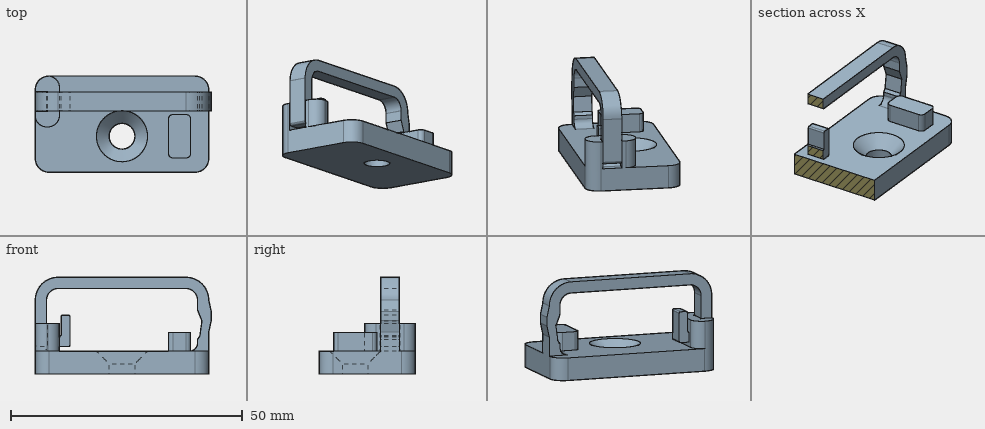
import cadquery as cq

base_length = 37.5
base_depth = 20.8
base_height = 5.0
base_corner_radius = 3.0

hole_x = base_length / 2
hole_y = 7.8
hole_diameter = 5.5
countersink_diameter = 11.03
countersink_angle = 90

boss_width = 5.25
boss_depth = 11.0
boss_top = 11.0
boss_corner_radius = 2.5
boss_center_y = base_depth - boss_depth / 2

slot_width = 4.25
slot_depth = boss_width / 2
leg_bottom = 5.97
leg_edge_radius = 0.45

handle_width = 4.07
handle_top = 20.95
handle_thickness = 2.47
handle_outer_radius = 5.0
handle_inner_radius = handle_outer_radius - handle_thickness
handle_inner_left = handle_thickness
handle_inner_right = base_length - handle_thickness
handle_inner_top = handle_top - handle_thickness

bulge_x = 38.03
bulge_top = 13.55
bulge_bottom = 11.6
bulge_end = 9.13
notch_top = 13.88
notch_deepest_x = 35.98
notch_deepest_z = 11.52
notch_lower_x = 35.52
notch_lower_z = 8.2
notch_end_z = 7.53
foot_radius = 1.75
foot_top = base_height + foot_radius

lever_left = 5.6
lever_right = 7.53
lever_top = 12.75
lever_neck_top = 8.02
lever_neck_rise = 0.38
lever_edge_radius = 0.3

stop_left = 28.75
stop_front = 3.1
stop_length = 4.83
stop_depth = 9.35
stop_top = 9.0
stop_corner_radius = 1.0


def block(length, depth, bottom, top, left=0.0, front=0.0):
    """Box placed by its left, front and bottom sides."""
    return (
        cq.Workplane("XY", origin=(left, front, bottom))
        .box(length, depth, top - bottom, centered=False)
    )


def extrude_across(outline, width):
    """Extrude a closed XZ outline symmetrically, centred on the boss in Y."""
    return outline.extrude(width / 2, both=True).translate((0, boss_center_y, 0))


def make_base():
    plate = block(base_length, base_depth, 0, base_height).edges("|Z").fillet(base_corner_radius)
    return (
        plate.faces(">Z").workplane(origin=(hole_x, hole_y, base_height))
        .cskHole(hole_diameter, countersink_diameter, countersink_angle)
    )


def make_boss():
    front = base_depth - boss_depth
    boss = block(boss_width, boss_depth, base_height, boss_top, front=front)
    boss = boss.edges("|Z").fillet(boss_corner_radius)
    base_column = block(base_length, base_depth, 0, boss_top).edges("|Z").fillet(base_corner_radius)
    boss = boss.intersect(base_column)

    gap_height = leg_bottom - base_height
    slot_outline = (
        cq.Workplane("XZ")
        .moveTo(0, base_height)
        .lineTo(slot_depth - gap_height, base_height)
        .radiusArc((slot_depth, leg_bottom), -gap_height)
        .lineTo(slot_depth, boss_top)
        .lineTo(0, boss_top)
        .close()
    )
    return boss.cut(extrude_across(slot_outline, slot_width))


def make_handle():
    outline = (
        cq.Workplane("XZ")
        .moveTo(leg_edge_radius, leg_bottom)
        .radiusArc((0, leg_bottom + leg_edge_radius), leg_edge_radius)
        .lineTo(0, handle_top - handle_outer_radius)
        .radiusArc((handle_outer_radius, handle_top), handle_outer_radius)
        .lineTo(base_length - handle_outer_radius, handle_top)
        .radiusArc((base_length, handle_top - handle_outer_radius), handle_outer_radius)
        .lineTo(bulge_x, bulge_top)
        .lineTo(bulge_x, bulge_bottom)
        .lineTo(base_length, bulge_end)
        .lineTo(base_length, base_height)
        .lineTo(handle_inner_right - foot_radius, base_height)
        .radiusArc((handle_inner_right, foot_top), -foot_radius)
        .lineTo(handle_inner_right, notch_end_z)
        .lineTo(notch_lower_x, notch_lower_z)
        .lineTo(notch_deepest_x, notch_deepest_z)
        .lineTo(handle_inner_right, notch_top)
        .lineTo(handle_inner_right, handle_inner_top - handle_inner_radius)
        .radiusArc((handle_inner_right - handle_inner_radius, handle_inner_top), -handle_inner_radius)
        .lineTo(handle_inner_left + handle_inner_radius, handle_inner_top)
        .radiusArc((handle_inner_left, handle_inner_top - handle_inner_radius), -handle_inner_radius)
        .lineTo(handle_inner_left, boss_top)
        .lineTo(slot_depth, boss_top)
        .lineTo(slot_depth, leg_bottom)
        .close()
    )
    return extrude_across(outline, handle_width)


def make_lever():
    blade = block(lever_right - lever_left, handle_width, leg_bottom, lever_top,
                  lever_left, boss_center_y - handle_width / 2)
    blade = blade.edges("|Y and >Z").fillet(lever_edge_radius)
    blade = blade.edges("|Y and >X and <Z").fillet(lever_edge_radius)
    neck_outline = (
        cq.Workplane("XZ")
        .moveTo(slot_depth, leg_bottom)
        .lineTo(lever_left, leg_bottom)
        .lineTo(lever_left, lever_neck_top + lever_neck_rise)
        .lineTo(boss_width, lever_neck_top)
        .lineTo(slot_depth, lever_neck_top)
        .close()
    )
    return blade.union(extrude_across(neck_outline, handle_width))


def make_stop():
    stop = block(stop_length, stop_depth, base_height, stop_top, stop_left, stop_front)
    return stop.edges("|Z").fillet(stop_corner_radius)


result = make_base()
for feature in (make_boss(), make_handle(), make_lever(), make_stop()):
    result = result.union(feature)